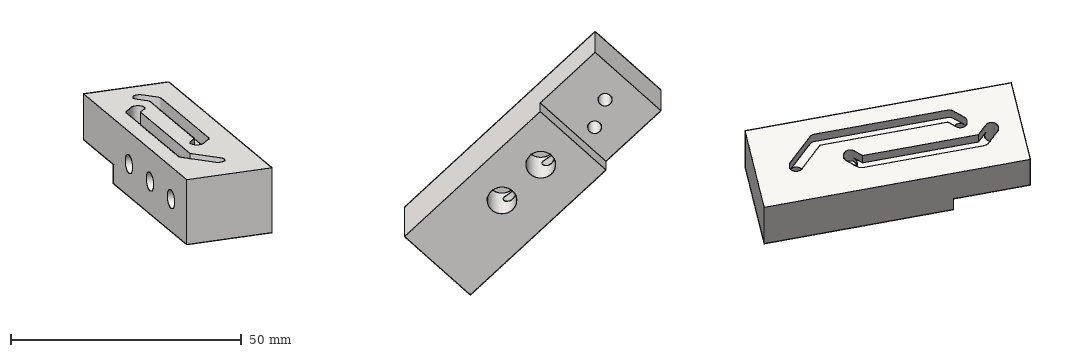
import cadquery as cq

LENGTH = 59.0
WIDTH = 20.0
HEIGHT = 15.0
STEP_LENGTH = 17.0
STEP_HEIGHT = 4.4

PORT_DIAMETER = 4.2
PORT_Z = 7.5
PORT_PITCH = 12.0
FIRST_PORT_X = 26.0
SECOND_PORT_X = FIRST_PORT_X + PORT_PITCH
THIRD_PORT_X = SECOND_PORT_X + PORT_PITCH
BORE_Y = 11.0
PORT_OVERRUN = 2.0
BLIND_PORT_DEPTH = BORE_Y + PORT_OVERRUN

BORE_DIAMETER = 6.4
BORE_DEPTH = 10.5

CHANNEL_WIDTH = 3.0
CHANNEL_DEPTH = 3.0
CHANNEL_FLOOR_Z = HEIGHT - CHANNEL_DEPTH
REAR_RUN_Y = 13.0
FRONT_RUN_Y = 5.5
REAR_START = (6.6, 10.5)
REAR_END = (SECOND_PORT_X, BORE_Y)
FRONT_START = (12.9, 7.5)
FRONT_END = (THIRD_PORT_X, BORE_Y)


def make_block():
    """Full block with the underside cut away at the -X end."""
    block = cq.Workplane("XY").box(LENGTH, WIDTH, HEIGHT, centered=False)
    step = cq.Workplane("XY").box(STEP_LENGTH, WIDTH, STEP_HEIGHT, centered=False)
    return block.cut(step)


def vertical_hole(center, diameter, bottom_z, top_z):
    """Upright cylinder between two heights."""
    return (
        cq.Workplane("XY", origin=(*center, bottom_z))
        .circle(diameter / 2)
        .extrude(top_z - bottom_z)
    )


def channel(start, end, run_y):
    """Round-ended channel along X at run_y, joined to both end points by 45 degree legs."""
    first_bend = (start[0] + abs(run_y - start[1]), run_y)
    last_bend = (end[0] - abs(run_y - end[1]), run_y)
    return (
        cq.Workplane("XY", origin=(0, 0, CHANNEL_FLOOR_Z))
        .polyline([start, first_bend, last_bend, end])
        .offset2D(CHANNEL_WIDTH / 2)
        .extrude(CHANNEL_DEPTH)
    )


def side_port(x, depth):
    """Flat-ended port drilled along +Y from the -Y side."""
    return cq.Workplane("XZ", origin=(x, 0, PORT_Z)).circle(PORT_DIAMETER / 2).extrude(-depth)


result = make_block()

result = result.cut(channel(REAR_START, REAR_END, REAR_RUN_Y))
result = result.cut(channel(FRONT_START, FRONT_END, FRONT_RUN_Y))

for through_end in (REAR_START, REAR_END, FRONT_START):
    result = result.cut(vertical_hole(through_end, CHANNEL_WIDTH, 0, CHANNEL_FLOOR_Z))
result = result.cut(vertical_hole(FRONT_END, CHANNEL_WIDTH, PORT_Z, CHANNEL_FLOOR_Z))

for port_x in (FIRST_PORT_X, SECOND_PORT_X):
    result = result.cut(vertical_hole((port_x, BORE_Y), BORE_DIAMETER, 0, BORE_DEPTH))
    result = result.cut(side_port(port_x, BORE_Y))
result = result.cut(side_port(THIRD_PORT_X, BLIND_PORT_DEPTH))